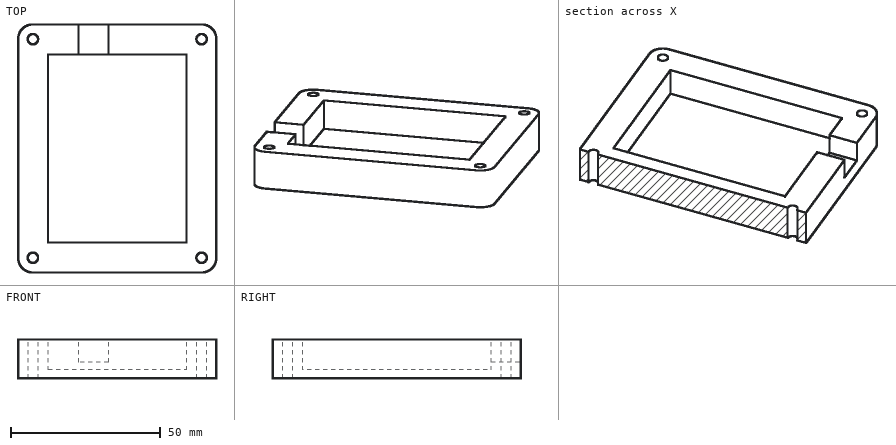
import cadquery as cq

width = 66.25
length = 82.9
height = 13.0
corner_radius = 5.0

wall = 10.0
pocket_depth = 10.0
pocket_width = width - 2 * wall
pocket_length = length - 2 * wall

notch_width = 10.0
notch_depth = 7.5
notch_center_x = -8.0

hole_diameter = 3.4
hole_spacing_x = width - 2 * corner_radius
hole_spacing_y = length - 2 * corner_radius


def make_block():
    block = cq.Workplane("XY").box(width, length, height, centered=(True, True, False))
    return block.edges("|Z").fillet(corner_radius)


def make_pocket():
    return (
        cq.Workplane("XY", origin=(0, 0, height - pocket_depth))
        .rect(pocket_width, pocket_length)
        .extrude(pocket_depth)
    )


def make_notch():
    notch_center_y = (length - wall) / 2
    return (
        cq.Workplane("XY", origin=(notch_center_x, notch_center_y, height - notch_depth))
        .rect(notch_width, wall)
        .extrude(notch_depth)
    )


def make_corner_holes():
    return (
        cq.Workplane("XY")
        .rect(hole_spacing_x, hole_spacing_y, forConstruction=True)
        .vertices()
        .circle(hole_diameter / 2)
        .extrude(height)
    )


result = make_block().cut(make_pocket()).cut(make_notch()).cut(make_corner_holes())